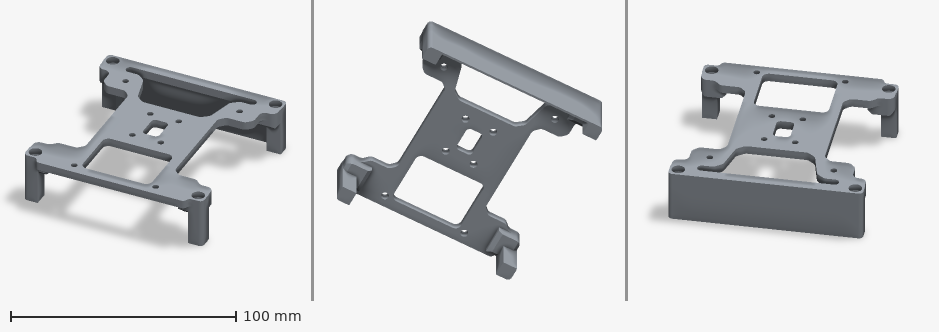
import cadquery as cq
import math

total_height = 24.0
plate_thickness = 4.0
pad_height = 9.0
pad_chamfer = 2.0
wall_thickness = 1.0

post_spacing = 80.0
post_margin = 4.0
post_size = 7.0
pad_size = 12.0
post_center = post_spacing / 2
outer_edge = post_center + post_margin
post_inner = outer_edge - post_size
pad_inner = outer_edge - pad_size
post_radius = 2.0
post_arc_y = post_center - post_margin + post_radius

pad_side_relief = post_radius - math.sqrt(post_radius**2 - (post_arc_y - post_inner) ** 2)
pad_edge = outer_edge - pad_side_relief

front_edge_y = -47.0
body_half_width = 22.0
lobe_front_y = 21.0
arm_back_y = -29.0
bevel = 3.0
blend_radius = 3.0

slot_back_y = 39.0
slot_front_y = 35.0
slot_half_length = 32.0
taper_front_y = 16.3
taper_back_half_width = 21.95
taper_front_half_width = 17.1

small_window_width = 8.0
small_window_length = 12.0
small_window_radius = 2.0
large_window_width = 34.0
large_window_back_y = -16.2
large_window_front_y = -42.0
large_window_radius = 3.0

screw_diameter = 3.0
counterbore_diameter = 3.5
counterbore_depth = 2.5
back_screw_x = 28.0
back_screw_y = 28.0
center_screw_x = 7.0
center_screw_y = 9.25
front_screw_x = 20.0
front_screw_y = large_window_front_y
post_hole_diameter = 6.0
post_hole_depth = 3.0

shortest_edge = 1e-6
both_sides = (-1, 1)


def box_between(x_limits, y_limits, height):
    """Box over the given X and Y limits, reaching from Z = 0 down by height."""
    x_min, x_max = x_limits
    y_min, y_max = y_limits
    box = cq.Workplane("XY").box(x_max - x_min, y_max - y_min, height, centered=False)
    return box.translate((x_min, y_min, -height))


def unit_vector(start, end):
    """Plan direction from one point towards another."""
    return cq.Vector(end[0] - start[0], end[1] - start[1]).normalized()


def beveled(before, corner, after):
    """The two (x, y, radius) corners left by cutting a bevel across one corner."""
    corners = []
    for neighbor in (before, after):
        point = cq.Vector(*corner) + unit_vector(corner, neighbor) * bevel
        corners.append((point.x, point.y, blend_radius))
    return corners


def s_bend(offset, first_radius, second_radius):
    """Distances along an S-bend of two tangent arcs: its two corners and its end."""
    radius_sum = first_radius + second_radius
    sweep = math.acos(1 - offset / radius_sum)
    run = radius_sum * math.sin(sweep)
    first_corner = first_radius * math.tan(sweep / 2)
    second_corner = run - second_radius * math.tan(sweep / 2)
    return first_corner, second_corner, run


def rounded_prism(corners, height):
    """Prism below Z = 0 whose (x, y, radius) plan corners are rounded by tangent arcs."""
    path = None
    pen = None
    following = corners[1:] + corners[:1]
    for before, (x, y, radius), after in zip(corners[-1:] + corners[:-1], corners, following):
        corner = cq.Vector(x, y)
        to_before = unit_vector((x, y), before)
        to_after = unit_vector((x, y), after)
        half_angle = to_before.getAngle(to_after) / 2
        setback = radius / math.tan(half_angle)
        depth = radius / math.sin(half_angle) - radius
        start = (corner + to_before * setback).toTuple()[:2]
        middle = (corner + (to_before + to_after).normalized() * depth).toTuple()[:2]
        end = (corner + to_after * setback).toTuple()[:2]
        if path is None:
            path = cq.Workplane("XY").moveTo(*start)
        elif math.dist(pen, start) > shortest_edge:
            path = path.lineTo(*start)
        if radius > 0:
            path = path.threePointArc(middle, end)
        pen = end
    return path.close().extrude(-height)


def with_mirror_image(right_corners):
    """Closed loop of corners: the right half followed by its mirror image."""
    left_corners = [(-x, y, radius) for x, y, radius in reversed(right_corners)]
    return right_corners + left_corners


def outline_prism():
    """Outer outline of the part, carried over its full height."""
    to_relief, to_pad_side, _ = s_bend(pad_side_relief, post_radius, blend_radius)
    post_end_y = post_arc_y - to_relief
    pad_side_y = post_arc_y - to_pad_side

    front_step = -outer_edge - front_edge_y
    to_step, to_front, step_run = s_bend(front_step, post_radius, post_radius)
    step_start_x = post_inner - post_radius + step_run

    lobe_side = (post_inner, pad_inner)
    lobe_corner = (post_inner, lobe_front_y)
    body_back = (body_half_width, lobe_front_y)
    body_front = (body_half_width, arm_back_y)
    arm_corner = (post_inner, arm_back_y)

    right = [
        (outer_edge, outer_edge, post_radius),
        (outer_edge, post_end_y, post_radius),
        (pad_edge, pad_side_y, blend_radius),
        (pad_edge, pad_inner, blend_radius),
        (*lobe_side, blend_radius),
        *beveled(lobe_side, lobe_corner, body_back),
        *beveled(lobe_corner, body_back, body_front),
        *beveled(body_back, body_front, arm_corner),
        (post_inner - bevel, arm_back_y, blend_radius),
        (post_inner, -pad_inner, blend_radius),
        (pad_edge, -pad_inner, blend_radius),
        (pad_edge, -pad_side_y, blend_radius),
        (outer_edge, -post_end_y, post_radius),
        (outer_edge, -outer_edge, post_radius),
        (step_start_x - to_step, -outer_edge, post_radius),
        (step_start_x - to_front, front_edge_y, post_radius),
    ]
    return rounded_prism(with_mirror_image(right), total_height)


def pad(x_limits, y_limits):
    """Square pad beveled along the bottom on every side except the back."""
    block = box_between(x_limits, y_limits, pad_height)
    bottom_edges = block.faces("<Z").edges("|Y or <Y")
    return bottom_edges.chamfer(pad_chamfer)


def side_limits(side, inner):
    """Ordered limits from an inner position out to the outer edge on one side."""
    return sorted((side * inner, side * outer_edge))


def body_blocks():
    """Plate slab, back wall, posts and pads before trimming to the outline."""
    full_width = (-outer_edge, outer_edge)
    blocks = box_between(full_width, (front_edge_y, outer_edge), plate_thickness)
    wall_limits = (outer_edge - wall_thickness, outer_edge)
    blocks = blocks.union(box_between(full_width, wall_limits, total_height))
    for x_side in both_sides:
        for y_side in both_sides:
            post_x = side_limits(x_side, post_inner)
            post_y = side_limits(y_side, post_inner)
            pad_x = side_limits(x_side, pad_inner)
            pad_y = side_limits(y_side, pad_inner)
            blocks = blocks.union(box_between(post_x, post_y, total_height))
            blocks = blocks.union(pad(pad_x, pad_y))
    return blocks


def back_opening():
    """Round-ended slot joined to the tapered opening in front of it."""
    slot_width = slot_back_y - slot_front_y
    slot_middle_y = (slot_back_y + slot_front_y) / 2
    slot = cq.Workplane("XY").center(0, slot_middle_y).slot2D(2 * slot_half_length, slot_width)
    slot = slot.extrude(-plate_thickness)

    shoulder_x = slot_half_length - slot_width
    shoulder_end = (shoulder_x, slot_front_y)
    taper_back = (taper_back_half_width, slot_front_y)
    taper_front = (taper_front_half_width, taper_front_y)
    right = [
        (shoulder_x, slot_middle_y, 0),
        (*shoulder_end, 0),
        *beveled(shoulder_end, taper_back, taper_front),
        *beveled(taper_back, taper_front, (0, taper_front_y)),
    ]
    return slot.union(rounded_prism(with_mirror_image(right), plate_thickness))


def window(width, y_limits, radius):
    """Rectangular opening centred on X = 0 with rounded corners."""
    opening = box_between((-width / 2, width / 2), y_limits, plate_thickness)
    return opening.edges("|Z").fillet(radius)


def round_holes(points, diameter, depth, top=0):
    """Vertical cylinders at the given points, reaching down by depth from top."""
    plane = cq.Workplane("XY").workplane(offset=top)
    return plane.pushPoints(points).circle(diameter / 2).extrude(-depth)


def screw_holes():
    """Through holes counterbored from the underside of the plate."""
    right_points = (
        (back_screw_x, back_screw_y),
        (center_screw_x, center_screw_y),
        (center_screw_x, -center_screw_y),
        (front_screw_x, front_screw_y),
    )
    points = [(side * x, y) for x, y in right_points for side in both_sides]
    shanks = round_holes(points, screw_diameter, plate_thickness)
    counterbore_top = counterbore_depth - plate_thickness
    counterbores = round_holes(points, counterbore_diameter, counterbore_depth, counterbore_top)
    return shanks.union(counterbores)


def post_holes():
    """Blind holes in the tops of the posts."""
    points = [(x * post_center, y * post_center) for x in both_sides for y in both_sides]
    return round_holes(points, post_hole_diameter, post_hole_depth)


small_window_limits = (-small_window_length / 2, small_window_length / 2)
large_window_limits = (large_window_front_y, large_window_back_y)

result = body_blocks().intersect(outline_prism())
result = result.cut(back_opening())
result = result.cut(window(small_window_width, small_window_limits, small_window_radius))
result = result.cut(window(large_window_width, large_window_limits, large_window_radius))
result = result.cut(screw_holes())
result = result.cut(post_holes())